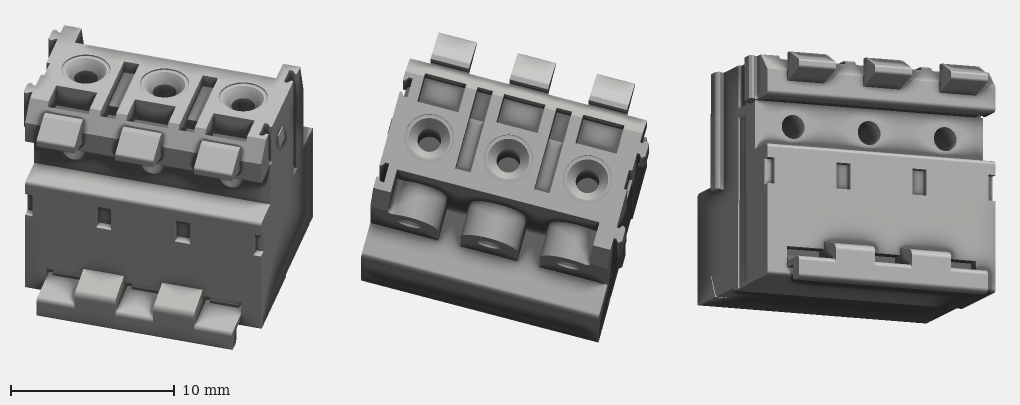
import cadquery as cq
import math


pitch = 5.0
pole_xs = [-pitch, 0, pitch]
gap_xs = [-pitch / 2, pitch / 2]
overall_width = 15.73
body_width = 15.0
half_width = body_width / 2
body_height = 13.9
back_y = 11.53
edge_radius = 0.25
bottom_front_radius = 0.2
bottom_rear_radius = 0.19

rear_step_y = 5.52
rear_step_z = 0.19
rear_ledge_z = 7.14
tower_back_y = 9.36
tower_slant_y = 8.65
tower_slant_z = 11.69
top_chamfer = 1.1
overhang_z = 11.23
neck_y = 2.03
front_ledge_z = 8.2

wire_z = 9.74
wire_diameter = 1.5
sleeve_diameter = 3.6
rear_recess_y = 7.15
rear_recess_half = 6.4
sleeve_fillet = 0.3

screw_y = 4.75
screw_rim_diameter = 3.0
screw_rim_depth = 0.1
screw_cone_diameter = 2.53
screw_diameter = 1.45
screw_floor_z = 11.01

pocket_width = 2.61
pocket_front_y = 0.85
pocket_back_y = 2.74
pocket_floor_z = 12.36
slot_width = 0.98
slot_back_y = 6.18
slot_floor_z = 13.07

notch_width = 0.95
notch_depth = 0.53
notch_bottom_z = 5.68
notch_top_z = 7.3

front_reach = 1.97
latch_width = 2.42
hook_gap = 0.06
hook_flat_y = -0.41
hook_root_z = 12.16
hook_nose_top_z = 13.13
hook_nose_bottom_z = 12.65
hook_nose_radius = 0.19
hook_top_radius = 0.38
foot_width = 2 * pitch + latch_width
foot_bottom_z = -0.47
foot_underside_z = 0.52
foot_lip_y = -0.98
shelf_z = 0.93
shelf_radius = 0.31
block_root_z = 2.31
block_nose_z = 1.81
block_radius = 0.47

window_top_z = 1.84
window_depth = 0.83
ramp_width = 1.82
ramp_length = 0.25
ramp_bottom_z = 1.12
ramp_top_z = 1.45

rail_ys = [neck_y, 7.53]
rail_bottom_zs = [overhang_z, 6.62]
rail_reach = 0.55
rail_tip_half = 0.4
rail_head_half = 0.53
rail_neck_half = 0.35
rail_tip_bevel = 0.14
rail_head_length = 0.25
rail_neck_start = 0.38
socket_head_half = 0.61
socket_neck_half = 0.36
socket_head_length = 0.24
socket_neck_start = 0.41
snap_y = 4.14
snap_width = 1.25
snap_recess_depth = 0.2
groove_depth = 0.1
groove_top_z = 10.71
groove_slope_height = 0.19
groove_widening_z = 5.45
groove_wide_width = 1.37
nub_width = 0.99
nub_reach = overall_width - body_width - rail_reach
nub_tip_reach = 0.06
nub_bottom_z = 11.45
nub_top_z = 12.3

slit_top_z = 1.65
tab_slit_y = 10.7
tab_slit_width = 0.06
tab_edge_radius = 0.28
slant_slit_top_y = 9.23
slant_slit_bottom_y = 8.48
slant_slit_width = 0.11
slant_slit_depth = 0.79


def box(x0, x1, y0, y1, z0, z1):
    """Axis-aligned block between two corners."""
    return cq.Workplane("XY").box(x1 - x0, y1 - y0, z1 - z0, centered=False).translate((x0, y0, z0))


def side_prism(points, x_center, width):
    """Closed (Y, Z) outline extruded along X about x_center."""
    prism = cq.Workplane("YZ").polyline(points).close().extrude(width / 2, both=True)
    return prism.translate((x_center, 0, 0))


def round_x_edges(solid, x_center, corners, radius):
    """Fillet the X-direction edges that pass through the given (Y, Z) corners."""
    reach = 0.002
    for y, z in corners:
        picker = cq.selectors.BoxSelector(
            (x_center - reach, y - reach, z - reach), (x_center + reach, y + reach, z + reach)
        )
        solid = solid.edges("|X").edges(picker).fillet(radius)
    return solid


def make_body():
    chamfer_z = body_height - top_chamfer
    body = side_prism(
        [
            (0, 0), (rear_step_y, 0), (rear_step_y, rear_step_z), (back_y, rear_step_z),
            (back_y, rear_ledge_z), (tower_back_y, rear_ledge_z), (tower_back_y, tower_slant_z),
            (tower_slant_y, body_height), (top_chamfer, body_height), (0, chamfer_z),
            (0, overhang_z), (neck_y, overhang_z), (neck_y, front_ledge_z), (0, front_ledge_z),
        ],
        0, body_width,
    )
    body = round_x_edges(body, 0, [(0, 0)], bottom_front_radius)
    body = round_x_edges(body, 0, [(back_y, rear_step_z)], bottom_rear_radius)
    corners = [(back_y, rear_ledge_z), (0, overhang_z), (0, front_ledge_z)]
    return round_x_edges(body, 0, corners, edge_radius)


def make_sleeve_fillet():
    """Concave fill between the right-hand sleeve and the end wall of the rear recess."""
    length = tower_back_y - rear_recess_y
    fillet_x = rear_recess_half - sleeve_fillet
    center_distance = sleeve_diameter / 2 + sleeve_fillet
    fillet_z = wire_z + math.sqrt(center_distance ** 2 - (fillet_x - pitch) ** 2)
    corners = [
        (pitch, wire_z), (rear_recess_half, wire_z), (rear_recess_half, fillet_z), (fillet_x, fillet_z),
    ]
    filler = cq.Workplane("XZ").polyline(corners).close().extrude(-length)
    round_cut = cq.Workplane("XZ").center(fillet_x, fillet_z).circle(sleeve_fillet).extrude(-length)
    base = box(pitch, rear_recess_half, 0, length, rear_ledge_z, wire_z)
    return filler.cut(round_cut).union(base).translate((0, rear_recess_y, 0))


def make_rear_recess():
    """Recess in the back of the tower that leaves a round-topped sleeve around each wire entry."""
    length = tower_back_y - rear_recess_y
    recess = box(
        -rear_recess_half, rear_recess_half, rear_recess_y, tower_back_y, rear_ledge_z, body_height
    )
    recess = round_x_edges(recess, 0, [(rear_recess_y, rear_ledge_z)], edge_radius)
    sleeve_radius = sleeve_diameter / 2
    for x in pole_xs:
        sleeve = cq.Workplane("XZ", origin=(x, rear_recess_y, wire_z)).circle(sleeve_radius).extrude(-length)
        base = box(x - sleeve_radius, x + sleeve_radius, rear_recess_y, tower_back_y, rear_ledge_z, wire_z)
        recess = recess.cut(sleeve).cut(base)
    fillet = make_sleeve_fillet()
    return recess.cut(fillet).cut(fillet.mirror("YZ"))


def make_wire_hole(x):
    return cq.Workplane("XZ", origin=(x, 0, wire_z)).circle(wire_diameter / 2).extrude(-back_y)


def make_screw_hole(x):
    """Shallow rim, 45 degree cone and flat-bottomed hole as one revolved cutter."""
    cone_top_z = body_height - screw_rim_depth
    cone_bottom_z = cone_top_z - (screw_cone_diameter - screw_diameter) / 2
    half_section = [
        (0, body_height), (screw_rim_diameter / 2, body_height), (screw_rim_diameter / 2, cone_top_z),
        (screw_cone_diameter / 2, cone_top_z), (screw_diameter / 2, cone_bottom_z),
        (screw_diameter / 2, screw_floor_z), (0, screw_floor_z),
    ]
    cutter = cq.Workplane("XZ").polyline(half_section).close().revolve(360, (0, 0), (0, 1))
    return cutter.translate((x, screw_y, 0))


def make_top_pocket(x, width):
    return box(
        x - width / 2, x + width / 2, pocket_front_y, pocket_back_y, pocket_floor_z, body_height
    )


def make_pole_slot(x):
    """Shallow slot between two poles that drops to pocket depth at the front."""
    shallow = box(
        x - slot_width / 2, x + slot_width / 2, pocket_back_y, slot_back_y, slot_floor_z, body_height
    )
    return shallow.union(make_top_pocket(x, slot_width))


def make_coding_notch(x):
    return box(
        x - notch_width / 2, x + notch_width / 2, 0, notch_depth, notch_bottom_z, notch_top_z
    )


def make_hook(x):
    """Wedge-shaped latch hook, free of the body above the front chamfer."""
    chamfer_z = body_height - top_chamfer
    hook = side_prism(
        [
            (0, hook_root_z), (0, chamfer_z), (-hook_gap, chamfer_z), (-hook_gap, body_height),
            (hook_flat_y, body_height), (-front_reach, hook_nose_top_z),
            (-front_reach, hook_nose_bottom_z),
        ],
        x, latch_width,
    )
    nose = [(-front_reach, hook_nose_top_z), (-front_reach, hook_nose_bottom_z)]
    hook = round_x_edges(hook, x, nose, hook_nose_radius)
    return round_x_edges(hook, x, [(hook_flat_y, body_height)], hook_top_radius)


def make_foot():
    """Hooked shelf along the front with a raised sloping block at each pole gap."""
    foot = side_prism(
        [
            (0, shelf_z), (-front_reach, shelf_z), (-front_reach, foot_bottom_z),
            (foot_lip_y, foot_bottom_z), (foot_lip_y, foot_underside_z), (0, foot_underside_z),
        ],
        0, foot_width,
    )
    foot = round_x_edges(foot, 0, [(-front_reach, shelf_z)], shelf_radius)
    lip = [(-front_reach, foot_bottom_z), (foot_lip_y, foot_bottom_z)]
    foot = round_x_edges(foot, 0, lip, edge_radius)
    for x in gap_xs:
        block = side_prism(
            [
                (0, foot_underside_z), (0, block_root_z), (-front_reach, block_nose_z),
                (-front_reach, foot_underside_z),
            ],
            x, pitch - latch_width,
        )
        foot = foot.union(round_x_edges(block, x, [(-front_reach, block_nose_z)], block_radius))
    return foot


def make_shelf_window(x):
    """Opening in the front face above a shelf, with a ramp left standing at its back."""
    window = box(x - latch_width / 2, x + latch_width / 2, 0, window_depth, shelf_z, window_top_z)
    ramp_front_y = window_depth - ramp_length
    ramp = side_prism(
        [
            (window_depth, shelf_z), (ramp_front_y, shelf_z), (ramp_front_y, ramp_bottom_z),
            (window_depth, ramp_top_z),
        ],
        x, ramp_width,
    )
    return window.cut(ramp)


def make_rail(y, bottom_z):
    """T-headed rail on the left side."""
    tip_x = -half_width - rail_reach
    upper = [
        (tip_x, rail_tip_half), (tip_x + rail_tip_bevel, rail_head_half),
        (tip_x + rail_head_length, rail_head_half), (tip_x + rail_neck_start, rail_neck_half),
        (-half_width, rail_neck_half),
    ]
    lower = [(x, -offset) for x, offset in reversed(upper)]
    rail = cq.Workplane("XY").polyline(upper + lower).close().extrude(body_height - bottom_z)
    return rail.translate((0, y, bottom_z))


def make_socket(y, bottom_z):
    """Dovetail socket in the right side that matches a rail."""
    floor_x = half_width - rail_reach
    upper = [
        (floor_x, socket_head_half), (floor_x + socket_head_length, socket_head_half),
        (floor_x + socket_neck_start, socket_neck_half), (half_width, socket_neck_half),
    ]
    lower = [(x, -offset) for x, offset in reversed(upper)]
    socket = cq.Workplane("XY").polyline(upper + lower).close().extrude(body_height - bottom_z)
    return socket.translate((0, y, bottom_z))


def make_left_grooves():
    """Snap recess at the top of the left side and the long shallow groove below it."""
    recess = box(
        -half_width, -half_width + snap_recess_depth,
        snap_y - snap_width / 2, snap_y + snap_width / 2, overhang_z, body_height,
    )
    groove = (
        cq.Workplane("XZ")
        .polyline([
            (-half_width, 0), (-half_width, groove_top_z),
            (-half_width + groove_depth, groove_top_z - groove_slope_height),
            (-half_width + groove_depth, 0),
        ])
        .close().extrude(snap_width / 2, both=True).translate((0, snap_y, 0))
    )
    wide_part = box(
        -half_width, -half_width + groove_depth,
        snap_y - groove_wide_width / 2, snap_y + groove_wide_width / 2, 0, groove_widening_z,
    )
    return recess.union(groove).union(wide_part)


def make_snap_nub():
    """Wedge on the right side that widens downwards."""
    section = [
        (half_width, nub_bottom_z), (half_width + nub_reach, nub_bottom_z),
        (half_width + nub_tip_reach, nub_top_z), (half_width, nub_top_z),
    ]
    nub = cq.Workplane("XZ").polyline(section).close().extrude(nub_width / 2, both=True)
    return nub.translate((0, snap_y, 0))


def cut_tab_slit(body):
    """Free the rear tab with a full-width slit and round its inner bottom edge."""
    front_y = tab_slit_y - tab_slit_width / 2
    tab_y = tab_slit_y + tab_slit_width / 2
    slit = box(-half_width, half_width, front_y, tab_y, rear_step_z, slit_top_z)
    return round_x_edges(body.cut(slit), 0, [(tab_y, rear_step_z)], tab_edge_radius)


def make_slanted_slit():
    """Blind slanted slit in the left side."""
    return side_prism(
        [
            (slant_slit_bottom_y, rear_step_z), (slant_slit_top_y, slit_top_z),
            (slant_slit_top_y + slant_slit_width, slit_top_z),
            (slant_slit_bottom_y + slant_slit_width, rear_step_z),
        ],
        -half_width + slant_slit_depth / 2, slant_slit_depth,
    )


result = cut_tab_slit(make_body())
result = result.cut(make_rear_recess()).cut(make_left_grooves()).cut(make_slanted_slit())

for pole_x in pole_xs:
    result = result.cut(make_wire_hole(pole_x)).cut(make_screw_hole(pole_x))
    result = result.cut(make_top_pocket(pole_x, pocket_width)).cut(make_shelf_window(pole_x))
    result = result.union(make_hook(pole_x))

for gap_x in gap_xs:
    result = result.cut(make_pole_slot(gap_x))

for notch_x in [-1.5 * pitch, *gap_xs, 1.5 * pitch]:
    result = result.cut(make_coding_notch(notch_x))

for rail_y, rail_bottom_z in zip(rail_ys, rail_bottom_zs):
    result = result.union(make_rail(rail_y, rail_bottom_z))
    result = result.cut(make_socket(rail_y, rail_bottom_z))

result = result.union(make_foot()).union(make_snap_nub())